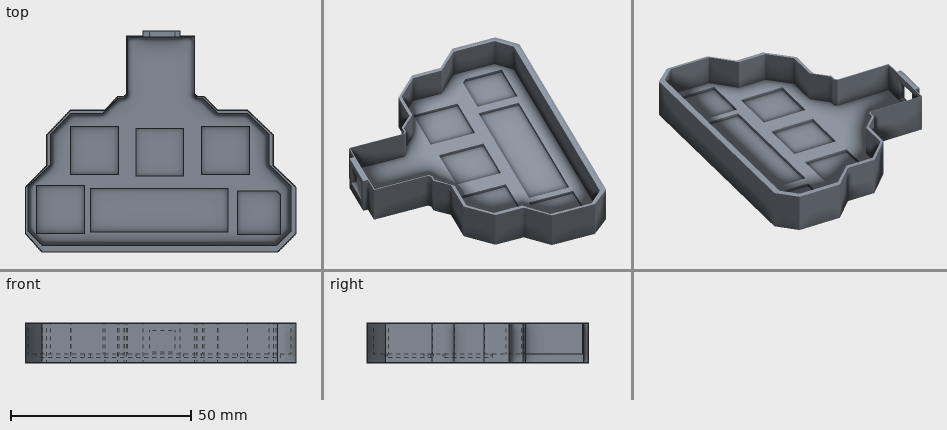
import cadquery as cq


height = 11.0
floor_thickness = 2.5
pocket_depth = 1.0

front_y = 0.0
front_corner_y = 5.15
lower_side_top_y = 18.0
upper_side_bottom_y = 24.05
upper_side_top_y = 32.5
shoulder_y = 39.4
collar_y = 43.2
neck_start_y = 43.9
neck_end_y = 60.0

width = 75.1
left_front_corner_x = 4.6
right_front_corner_x = 70.0
left_upper_side_x = 5.9
right_upper_side_x = 68.8
left_shoulder_outer_x = 12.5
right_shoulder_outer_x = 61.6
left_shoulder_inner_x = 22.1
right_shoulder_inner_x = 53.3
left_collar_outer_x = 25.6
right_collar_outer_x = 49.6
left_collar_inner_x = 27.35
right_collar_inner_x = 47.65
left_neck_x = 28.05
right_neck_x = 46.95

front_wall = 1.8
left_wall = 0.7
right_wall = 1.35
left_upper_wall = 1.0
right_upper_wall = 1.15
shoulder_wall = 0.9
collar_wall = 0.4
left_neck_wall = 0.25
right_neck_wall = 0.1
neck_end_wall = 0.25

neck_inner_end_y = neck_end_y - neck_end_wall

cavity_corner_y = 5.9
cavity_lower_side_top_y = 18.15
cavity_upper_side_bottom_y = 24.2
cavity_upper_side_top_y = 32.6
cavity_neck_start_y = 43.5
cavity_left_front_corner_x = 4.75
cavity_right_front_corner_x = 69.6
cavity_left_shoulder_outer_x = 12.65
cavity_right_shoulder_outer_x = 61.6
cavity_left_shoulder_inner_x = 21.5
cavity_right_shoulder_inner_x = 53.4
cavity_left_collar_outer_x = 25.9
cavity_right_collar_outer_x = 49.1
cavity_left_collar_inner_x = 27.5
cavity_right_collar_inner_x = 47.5

boss_width = 10.3
boss_length = 1.4
boss_center_x = 37.75
window_width = 7.1
window_center_x = 38.0
window_bottom_z = 3.0
window_height = 6.0

square_pocket = 13.25
outer_square_center_y = 28.2
left_square_center_x = 19.15
right_square_center_x = 55.5
middle_square_center = (37.3, 27.7)
front_square_center = (9.7, 11.8)
long_pocket_length = 38.1
pocket_width = 12.0
long_pocket_center = (37.15, 11.65)
cut_corner_pocket_center = (64.85, 10.95)
cut_corner = 1.1


def outline(levels, left_xs, right_xs):
    """Closed outline from left and right corner positions at shared Y levels."""
    left_side = list(zip(left_xs, levels))
    right_side = list(zip(right_xs, levels))
    return cq.Workplane("XY").polyline(right_side + left_side[::-1]).close()


def make_body():
    levels = [
        front_y, front_corner_y, lower_side_top_y, upper_side_bottom_y, upper_side_top_y,
        shoulder_y, shoulder_y, collar_y, collar_y, neck_start_y, neck_end_y,
    ]
    left_xs = [
        left_front_corner_x, 0, 0, left_upper_side_x, left_upper_side_x,
        left_shoulder_outer_x, left_shoulder_inner_x,
        left_collar_outer_x, left_collar_inner_x, left_neck_x, left_neck_x,
    ]
    right_xs = [
        right_front_corner_x, width, width, right_upper_side_x, right_upper_side_x,
        right_shoulder_outer_x, right_shoulder_inner_x,
        right_collar_outer_x, right_collar_inner_x, right_neck_x, right_neck_x,
    ]
    return outline(levels, left_xs, right_xs).extrude(height)


def make_cavity():
    shoulder_level = shoulder_y - shoulder_wall
    collar_level = collar_y - collar_wall
    levels = [
        front_wall, cavity_corner_y, cavity_lower_side_top_y,
        cavity_upper_side_bottom_y, cavity_upper_side_top_y,
        shoulder_level, shoulder_level, collar_level, collar_level,
        cavity_neck_start_y, neck_inner_end_y,
    ]
    left_side_x = left_wall
    left_upper_x = left_upper_side_x + left_upper_wall
    left_neck_inner_x = left_neck_x + left_neck_wall
    left_xs = [
        cavity_left_front_corner_x, left_side_x, left_side_x, left_upper_x, left_upper_x,
        cavity_left_shoulder_outer_x, cavity_left_shoulder_inner_x,
        cavity_left_collar_outer_x, cavity_left_collar_inner_x, left_neck_inner_x, left_neck_inner_x,
    ]
    right_side_x = width - right_wall
    right_upper_x = right_upper_side_x - right_upper_wall
    right_neck_inner_x = right_neck_x - right_neck_wall
    right_xs = [
        cavity_right_front_corner_x, right_side_x, right_side_x, right_upper_x, right_upper_x,
        cavity_right_shoulder_outer_x, cavity_right_shoulder_inner_x,
        cavity_right_collar_outer_x, cavity_right_collar_inner_x, right_neck_inner_x, right_neck_inner_x,
    ]
    cavity = outline(levels, left_xs, right_xs).extrude(height - floor_thickness)
    return cavity.translate((0, 0, floor_thickness))


def block_on_neck_end(center_x, block_width, bottom_z, block_height):
    """Block from the inner face of the neck end wall to the back of the boss."""
    length = neck_end_y + boss_length - neck_inner_end_y
    block = cq.Workplane("XY").box(block_width, length, block_height, centered=(True, False, False))
    return block.translate((center_x, neck_inner_end_y, bottom_z))


def make_pocket(center, length, pocket_y_size):
    pocket = cq.Workplane("XY").box(length, pocket_y_size, pocket_depth, centered=(True, True, False))
    return pocket.translate((center[0], center[1], floor_thickness - pocket_depth))


boss = block_on_neck_end(boss_center_x, boss_width, 0, height)
window = block_on_neck_end(window_center_x, window_width, window_bottom_z, window_height)
result = make_body().cut(make_cavity()).union(boss).cut(window)

square_centers = [
    (left_square_center_x, outer_square_center_y),
    (right_square_center_x, outer_square_center_y),
    middle_square_center,
    front_square_center,
]
for square_center in square_centers:
    result = result.cut(make_pocket(square_center, square_pocket, square_pocket))

result = result.cut(make_pocket(long_pocket_center, long_pocket_length, pocket_width))

cut_corner_pocket = make_pocket(cut_corner_pocket_center, pocket_width, pocket_width)
result = result.cut(cut_corner_pocket.edges("|Z and >X and >Y").chamfer(cut_corner))